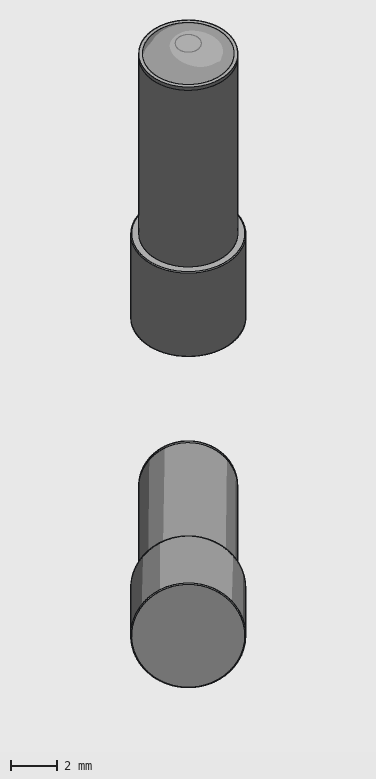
import cadquery as cq
import math

total_height = 16.2
collar_diameter = 5.0
collar_height = 5.0
collar_chamfer = 0.05
barrel_diameter = 4.31
cap_rim_height = 0.2
dome_height = 0.6
dome_flat_radius = 0.57
dome_arc_radius = 2.0

collar_radius = collar_diameter / 2
barrel_radius = barrel_diameter / 2
rim_top = total_height - dome_height
barrel_top = rim_top - cap_rim_height


def dome_radius_at(drop):
    """Radius of the dome at a distance below its flat tip."""
    return dome_flat_radius + math.sqrt(dome_arc_radius**2 - (dome_arc_radius - drop) ** 2)


def make_housing():
    """Solid barrel rising from a wider collar chamfered at both ends."""
    collar = (
        cq.Workplane("XY")
        .circle(collar_radius)
        .extrude(collar_height)
        .faces("<Z or >Z")
        .chamfer(collar_chamfer)
    )
    barrel = cq.Workplane("XY").circle(barrel_radius).extrude(barrel_top)
    return collar.union(barrel)


def make_cap():
    """Cap seated on the barrel: a flush rim, a narrow ledge and a flat-tipped dome."""
    middle_drop = dome_height / 2
    return (
        cq.Workplane("XZ")
        .moveTo(0, barrel_top)
        .lineTo(barrel_radius, barrel_top)
        .lineTo(barrel_radius, rim_top)
        .lineTo(dome_radius_at(dome_height), rim_top)
        .threePointArc(
            (dome_radius_at(middle_drop), total_height - middle_drop),
            (dome_flat_radius, total_height),
        )
        .lineTo(0, total_height)
        .close()
        .revolve(360, (0, 0, 0), (0, 1, 0))
    )


housing = make_housing()
cap = make_cap()
result = cq.Compound.makeCompound([housing.val(), cap.val()])